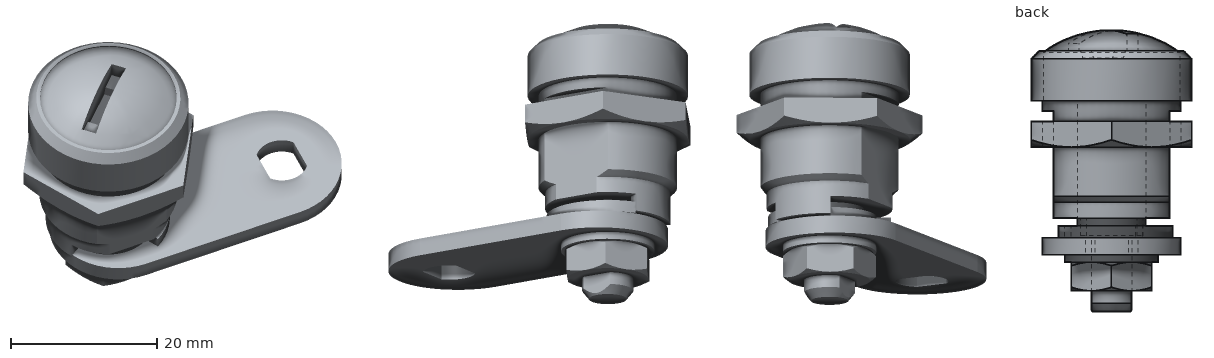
import cadquery as cq
import math


head_radius = 10.97
head_height = 6.85
head_chamfer = 1.1
barrel_radius = 9.5
barrel_bottom = -13.05
barrel_across_flats = 15.9
flats_top = -1.4
taper_height = 0.85
spigot_radius = 8.6
spigot_bottom = -16.0
tab_inner_radius = 6.95
tab_bottom = -18.4
tab_start_angle = 240
tab_sweep = 60

plug_head_radius = 9.35
plug_edge_drop = 0.2
dome_height = 2.85
plug_head_bottom = 0.0
core_radius = 4.7
stop_top = -17.1
stop_inner_radius = 6.45
stop_outer_radius = 8.4
stop_start_angle = 30
stop_sweep = 210
stud_radius = 3.5
stud_across_flats = 5.5
stud_bottom = -28.8
stud_chamfer_height = 1.15
stud_chamfer_width = 0.95

slot_length = 11.35
slot_width = 2.1
slot_offset = 1.7
slot_angle = -45
slot_floor = head_height
pocket_top_length = 6.65
pocket_bottom_length = 5.7
pocket_depth = 1.0

mounting_nut_across_flats = 22.0
mounting_nut_top = -2.8
mounting_nut_height = 3.5

cam_top = -18.7
cam_thickness = 2.4
cam_end_radius = 9.5
cam_near_center_y = 1.5
cam_far_center_y = 24.5
cam_hole_y = 25.9
cam_hole_radius = 3.6
cam_hole_across_flats = 5.5

washer_radius = 6.4
washer_thickness = 1.0
end_nut_across_flats = 11.0
end_nut_height = 3.9
nut_chamfer_angle = 30

cam_bottom = cam_top - cam_thickness
washer_bottom = cam_bottom - washer_thickness
end_nut_bottom = washer_bottom - end_nut_height
apex_z = head_height + dome_height


def cylinder(radius, bottom, top):
    return cq.Workplane("XY").workplane(offset=bottom).circle(radius).extrude(top - bottom)


def flat_bar(across_flats, bottom, top):
    """Bar with flats facing -X and +X, wide enough in Y to trim any body of the lock."""
    return (
        cq.Workplane("XY").workplane(offset=bottom)
        .rect(across_flats, 4 * head_radius).extrude(top - bottom)
    )


def double_d(radius, across_flats, bottom, top):
    return cylinder(radius, bottom, top).intersect(flat_bar(across_flats, bottom, top))


def ring_sector(inner_radius, outer_radius, start_angle, sweep, bottom, top):
    """Sector of a ring, counter-clockwise from start_angle."""
    def polar(radius, angle):
        return (radius * math.cos(math.radians(angle)), radius * math.sin(math.radians(angle)))

    middle = start_angle + sweep / 2
    end = start_angle + sweep
    return (
        cq.Workplane("XY").workplane(offset=bottom)
        .moveTo(*polar(inner_radius, start_angle))
        .lineTo(*polar(outer_radius, start_angle))
        .threePointArc(polar(outer_radius, middle), polar(outer_radius, end))
        .lineTo(*polar(inner_radius, end))
        .threePointArc(polar(inner_radius, middle), polar(inner_radius, start_angle))
        .close().extrude(top - bottom)
    )


def hex_nut(across_flats, bottom, height, chamfer_top):
    """Hexagon with corners on the Y axis, its ends chamfered by a cone; no bore."""
    inner = across_flats / 2
    corner = inner / math.cos(math.radians(30))
    drop = (corner - inner) * math.tan(math.radians(nut_chamfer_angle))
    hexagon = (
        cq.Workplane("XY").workplane(offset=bottom)
        .polygon(6, 2 * corner).extrude(height)
        .rotate((0, 0, 0), (0, 0, 1), 30)
    )
    top = bottom + height
    outline = cq.Workplane("XZ").moveTo(0, bottom).lineTo(inner, bottom).lineTo(corner, bottom + drop)
    if chamfer_top:
        outline = outline.lineTo(corner, top - drop).lineTo(inner, top)
    else:
        outline = outline.lineTo(corner, top)
    envelope = outline.lineTo(0, top).close().revolve(360, (0, 0), (0, 1))
    return hexagon.intersect(envelope)


def make_housing():
    taper_bottom = barrel_bottom - taper_height
    head = cylinder(head_radius, 0, head_height).faces(">Z").chamfer(head_chamfer)
    barrel = (
        cq.Workplane("XZ")
        .moveTo(0, 0)
        .lineTo(barrel_radius, 0)
        .lineTo(barrel_radius, barrel_bottom)
        .lineTo(spigot_radius, taper_bottom)
        .lineTo(spigot_radius, tab_bottom)
        .lineTo(0, tab_bottom)
        .close().revolve(360, (0, 0), (0, 1))
    )
    flat_length = cylinder(head_radius, spigot_bottom, flats_top)
    barrel = barrel.cut(flat_length.cut(flat_bar(barrel_across_flats, spigot_bottom, flats_top)))
    tab = ring_sector(
        tab_inner_radius, barrel_radius, tab_start_angle, tab_sweep, tab_bottom, spigot_bottom
    )
    barrel = barrel.cut(cylinder(barrel_radius, tab_bottom, spigot_bottom).cut(tab))
    head_recess = cylinder(plug_head_radius, plug_head_bottom, head_height)
    core_bore = cylinder(core_radius, spigot_bottom, head_height)
    return head.union(barrel).cut(head_recess).cut(core_bore)


def make_key_slot():
    slot = (
        cq.Workplane("XY").workplane(offset=slot_floor)
        .center(slot_offset, 0).rect(slot_length, slot_width).extrude(dome_height)
    )
    pocket = (
        cq.Workplane("XZ")
        .center(slot_offset, slot_floor)
        .moveTo(-pocket_top_length / 2, 0)
        .lineTo(pocket_top_length / 2, 0)
        .lineTo(pocket_bottom_length / 2, -pocket_depth)
        .lineTo(-pocket_bottom_length / 2, -pocket_depth)
        .close().extrude(slot_width / 2, both=True)
    )
    return slot.union(pocket).rotate((0, 0, 0), (0, 0, 1), slot_angle)


def make_plug():
    edge_z = head_height - plug_edge_drop
    rise = apex_z - edge_z
    dome_radius = (plug_head_radius ** 2 + rise ** 2) / (2 * rise)
    mid_radius = plug_head_radius / 2
    mid_z = apex_z - dome_radius + math.sqrt(dome_radius ** 2 - mid_radius ** 2)
    head_and_core = (
        cq.Workplane("XZ")
        .moveTo(0, apex_z)
        .threePointArc((mid_radius, mid_z), (plug_head_radius, edge_z))
        .lineTo(plug_head_radius, plug_head_bottom)
        .lineTo(core_radius, plug_head_bottom)
        .lineTo(core_radius, stop_top)
        .lineTo(0, stop_top)
        .close().revolve(360, (0, 0), (0, 1))
    )
    stop_disc = cylinder(stop_inner_radius, cam_top, stop_top)
    stop_lobe = ring_sector(
        core_radius, stop_outer_radius, stop_start_angle, stop_sweep, cam_top, stop_top
    )
    stud = (
        cylinder(stud_radius, stud_bottom, cam_top)
        .faces("<Z").chamfer(stud_chamfer_height, stud_chamfer_width)
        .intersect(flat_bar(stud_across_flats, stud_bottom, cam_top))
    )
    return head_and_core.union(stop_disc).union(stop_lobe).union(stud).cut(make_key_slot())


def make_stud_bore(bottom, top):
    """Double-D opening that fits the stud."""
    return double_d(stud_radius, stud_across_flats, bottom, top)


def make_mounting_nut():
    bottom = mounting_nut_top - mounting_nut_height
    nut = hex_nut(mounting_nut_across_flats, bottom, mounting_nut_height, chamfer_top=False)
    return nut.cut(cylinder(barrel_radius, bottom, mounting_nut_top))


def make_cam():
    plate = (
        cq.Workplane("XY").workplane(offset=cam_bottom)
        .moveTo(-cam_end_radius, cam_near_center_y)
        .threePointArc((0, cam_near_center_y - cam_end_radius), (cam_end_radius, cam_near_center_y))
        .lineTo(cam_end_radius, cam_far_center_y)
        .threePointArc((0, cam_far_center_y + cam_end_radius), (-cam_end_radius, cam_far_center_y))
        .close().extrude(cam_thickness)
    )
    far_hole = (
        double_d(cam_hole_radius, cam_hole_across_flats, cam_bottom, cam_top)
        .rotate((0, 0, 0), (0, 0, 1), 90)
        .translate((0, cam_hole_y, 0))
    )
    return plate.cut(far_hole).cut(make_stud_bore(cam_bottom, cam_top))


def make_washer():
    washer = cylinder(washer_radius, washer_bottom, cam_bottom)
    return washer.cut(make_stud_bore(washer_bottom, cam_bottom))


def make_end_nut():
    nut = hex_nut(end_nut_across_flats, end_nut_bottom, end_nut_height, chamfer_top=True)
    return nut.cut(make_stud_bore(end_nut_bottom, washer_bottom))


housing = make_housing()
plug = make_plug()
mounting_nut = make_mounting_nut()
cam = make_cam()
washer = make_washer()
end_nut = make_end_nut()

result = cq.Compound.makeCompound([
    housing.val(),
    plug.val(),
    mounting_nut.val(),
    cam.val(),
    washer.val(),
    end_nut.val(),
])